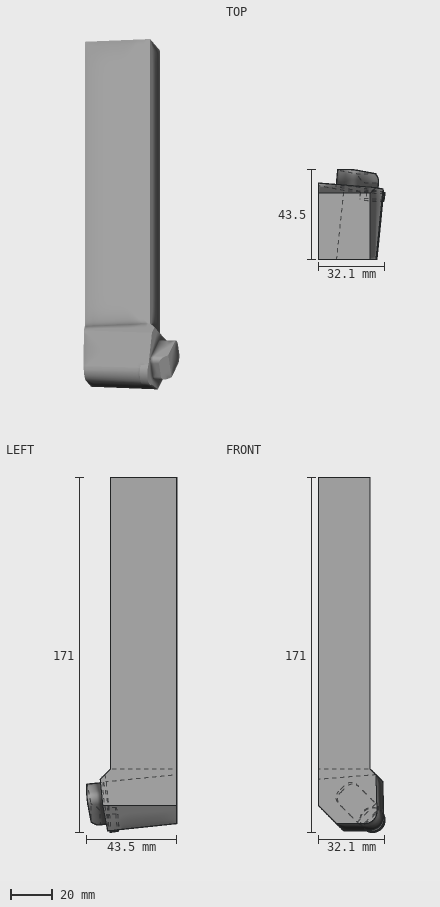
import cadquery as cq

width = 32.1

length = 171.0
shank_width = 25.0
shank_depth = 32.0

head_top = 30.6
front_side_top = (27.7, 27.9)
front_side_bottom = (28.4, 4.3)
side_lean = 1.9
bottom_lean = -2.0
lean_depth = 19.0
corner_radius = 6.0
head_reach = 41.0
head_blank_height = 42.7
head_side = 34.2
head_bottom_cut = 13.0

rake_height = 34.4
rake_slope_x = 0.09
rake_slope_z = 0.1

clamp_x = 14.9
clamp_z = 17.8
clamp_half_width = 6.3
clamp_tail = 5.1
clamp_nose = 14.7
clamp_tail_radius = 4.1
clamp_nose_radius = 2.5
clamp_height = 8.0
clamp_nose_bevel = 4.0

insert_radius = 6.0
insert_thickness = 4.0
insert_clearance = 3.0



def rake_y(x, z):
    return rake_height - rake_slope_x * x + rake_slope_z * z


def rake_plane(x, z):
    """Plane on the rake face, with its local x towards the cutting corner."""
    return cq.Plane(
        origin=(x, rake_y(x, z), z),
        xDir=(1, -rake_slope_x - rake_slope_z, -1),
        normal=(rake_slope_x, 1, -rake_slope_z),
    )


def outline_wire(points, y):
    return cq.Wire.makePolygon([cq.Vector(x, y, z) for x, z in points], close=True)


def make_shank():
    return (
        cq.Workplane("XY")
        .box(shank_width, shank_depth, length - head_bottom_cut, centered=False)
        .translate((0, 0, head_bottom_cut))
    )


def make_head():
    side_x, bottom_z = front_side_bottom
    side_slope = (side_x - front_side_top[0]) / (front_side_top[1] - bottom_z)
    top_x = side_x - side_slope * (head_blank_height - bottom_z)
    reach_share = head_reach / lean_depth
    shift_x = side_lean * reach_share
    shift_z = bottom_lean * reach_share
    start_x = -shank_width
    front = [
        (start_x, bottom_z),
        (side_x, bottom_z),
        (top_x, head_blank_height),
        (start_x, head_blank_height),
    ]
    back = [(x + shift_x, z + shift_z) for x, z in front]
    prism = cq.Workplane(cq.Solid.makeLoft([outline_wire(front, 0), outline_wire(back, head_reach)], True))
    lower_corner = cq.selectors.NearestToPointSelector(
        (side_x + shift_x / 2, head_reach / 2, bottom_z + shift_z / 2)
    )
    prism = prism.edges(lower_corner).fillet(corner_radius)

    flare_x = head_side - shank_width
    across_x = (
        cq.Workplane("XZ")
        .moveTo(0, head_bottom_cut)
        .lineTo(head_bottom_cut, 0)
        .lineTo(head_side, 0)
        .lineTo(head_side, head_top - flare_x)
        .lineTo(shank_width, head_top)
        .lineTo(0, head_top)
        .close()
        .extrude(-head_reach)
    )
    flare_y = head_reach - shank_depth
    across_y = (
        cq.Workplane("YZ")
        .polyline([(0, 0), (head_reach, 0), (head_reach, head_top - flare_y),
                   (shank_depth, head_top), (0, head_top)])
        .close()
        .extrude(head_side)
    )
    above_rake = cq.Workplane(rake_plane(0, 0)).rect(length, length).extrude(length)
    return prism.intersect(across_x).intersect(across_y).cut(above_rake)


def make_clamp():
    clamp_length = clamp_tail + clamp_nose
    plane = rake_plane(clamp_x, clamp_z)
    finger = (
        cq.Workplane(plane)
        .center((clamp_nose - clamp_tail) / 2, 0)
        .rect(clamp_length, 2 * clamp_half_width)
        .extrude(clamp_height)
    )
    end_face = cq.selectors.DirectionMinMaxSelector
    upright = cq.selectors.ParallelDirSelector(plane.zDir)
    finger = finger.faces(end_face(plane.xDir, False)).edges(upright).fillet(clamp_tail_radius)
    finger = finger.faces(end_face(plane.xDir, True)).edges(upright).fillet(clamp_nose_radius)
    bevel_plane = cq.Plane(
        origin=plane.toWorldCoords((clamp_nose, 0, clamp_height - clamp_nose_bevel)),
        xDir=plane.yDir,
        normal=plane.xDir + plane.zDir,
    )
    bevel = cq.Workplane(bevel_plane).rect(3 * clamp_half_width, 3 * clamp_half_width).extrude(clamp_height)
    return finger.cut(bevel)


def make_insert():
    center_x = width - insert_radius
    return (
        cq.Workplane(rake_plane(center_x, insert_radius))
        .circle(insert_radius)
        .extrude(-insert_thickness, taper=insert_clearance)
    )


insert = make_insert()
holder = make_shank().union(make_head()).union(make_clamp()).cut(insert)

result = cq.Compound.makeCompound([holder.val(), insert.val()])